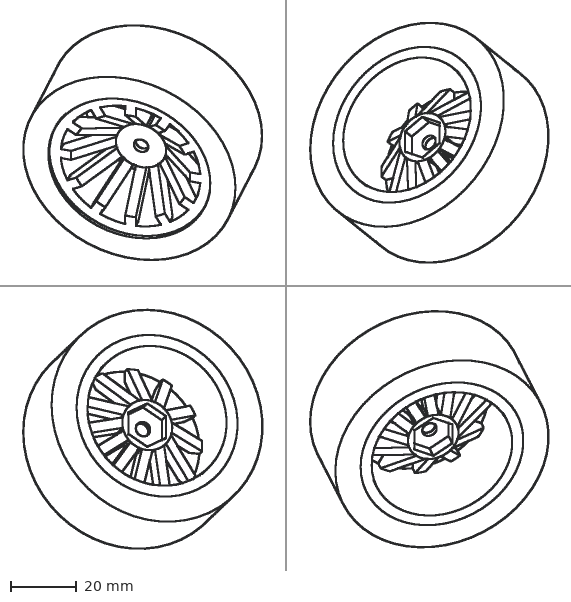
import cadquery as cq
import math

tyre_diameter = 67.5
wheel_width = 27.8
rim_diameter = 51.5
opening_diameter = 44.5
hub_diameter = 16.0
bore_diameter = 4.5
hub_web = 1.9
hex_across_flats = 12.0
hex_sides = 6
rim_recess = 1.3
hub_recess = 12.2
dish_diameter = 37.95
spoke_width = 3.4
spoke_thickness = 6.0
spoke_count = 12

front_y = -wheel_width / 2
back_y = wheel_width / 2
rim_front_y = front_y + rim_recess
hub_front_y = front_y + hub_recess
hub_back_y = hub_front_y + spoke_thickness


def cylinder(diameter, start_y, end_y):
    """Solid cylinder on the Y axis between two Y positions."""
    disc = cq.Workplane("XZ", origin=(0, end_y, 0)).circle(diameter / 2)
    return disc.extrude(end_y - start_y)


def make_tyre():
    """Plain ring whose bore holds the rim."""
    return cylinder(tyre_diameter, front_y, back_y).cut(cylinder(rim_diameter, front_y, back_y))


def make_spoke_cone():
    """Dished cone with a flat band at the rim face and parallel sloping front and back faces."""
    outer_radius = (opening_diameter + rim_diameter) / 4
    dish_radius = dish_diameter / 2
    hub_radius = hub_diameter / 2
    slope = (hub_front_y - rim_front_y) / (dish_radius - hub_radius)
    outer_back_y = hub_back_y - slope * (outer_radius - hub_radius)
    root_radius = (hub_diameter + bore_diameter) / 4
    profile = (
        cq.Workplane("XY")
        .moveTo(root_radius, hub_front_y)
        .lineTo(hub_radius, hub_front_y)
        .lineTo(dish_radius, rim_front_y)
        .lineTo(outer_radius, rim_front_y)
        .lineTo(outer_radius, outer_back_y)
        .lineTo(hub_radius, hub_back_y)
        .lineTo(root_radius, hub_back_y)
        .close()
    )
    return profile.revolve(360, (0, 0, 0), (0, 1, 0))


def make_spokes():
    """Radial strips of the dished cone, evenly spaced around the axle."""
    bar = cq.Workplane("XY").box(rim_diameter / 2, wheel_width, spoke_width, centered=(False, True, True))
    bars = bar
    for index in range(1, spoke_count):
        angle = index * 360 / spoke_count
        bars = bars.union(bar.rotate((0, 0, 0), (0, 1, 0), angle))
    return make_spoke_cone().intersect(bars)


def make_hex_pocket():
    """Hexagonal pocket, open at the back of the hub, with two flats facing +X and -X."""
    half_sector = 180 / hex_sides
    across_corners = hex_across_flats / math.cos(math.radians(half_sector))
    hexagon = cq.Workplane("XZ", origin=(0, hub_back_y, 0)).polygon(hex_sides, across_corners)
    pocket = hexagon.extrude(spoke_thickness - hub_web)
    return pocket.rotate((0, 0, 0), (0, 1, 0), half_sector)


def make_wheel():
    """Rim ring, dished spokes and a bored hub as one solid."""
    ring = cylinder(rim_diameter, rim_front_y, back_y).cut(cylinder(opening_diameter, rim_front_y, back_y))
    hub = cylinder(hub_diameter, hub_front_y, hub_back_y)
    wheel = ring.union(make_spokes()).union(hub)
    bore = cylinder(bore_diameter, hub_front_y, hub_back_y)
    return wheel.cut(make_hex_pocket()).cut(bore)


tyre = make_tyre()
wheel = make_wheel()

result = cq.Compound.makeCompound([tyre.val(), *wheel.vals()])